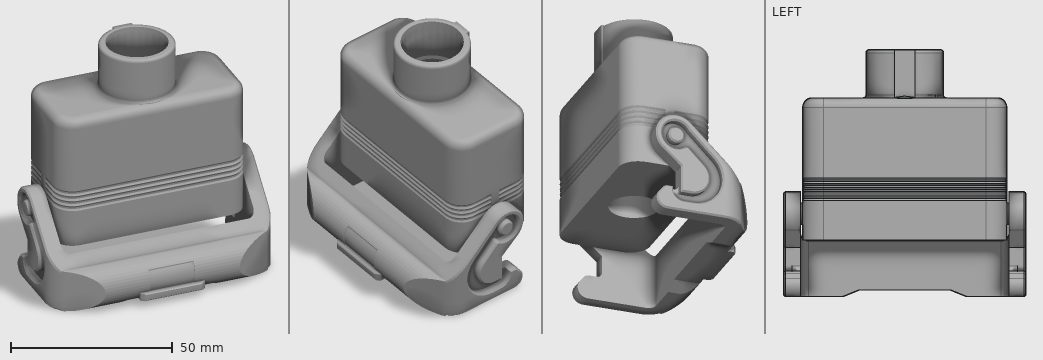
import cadquery as cq
import math

HOUSING_HALF_X = 14.7
HOUSING_HALF_Y = 31.6
HOUSING_BOTTOM = 17.5
HOUSING_TOP = 61.6
HOUSING_CORNER_RADIUS = 6.5
HOUSING_TOP_RADIUS = 3.0

NECK_TOP = 76.5
NECK_RADIUS = 12.0
NECK_RIM_RADIUS = 1.0
NECK_FOOT_RADIUS = 0.85
NECK_FLAT_X = 12.1
NECK_FLAT_WIDTH = 6.4
BORE_DEPTH = 13.5
BORE_TOP_RADIUS = 9.8
BORE_BOTTOM_RADIUS = 9.6
THROUGH_RADIUS = 7.95

GROOVE_COUNT = 4
GROOVE_PITCH = 1.75
GROOVE_BOTTOM = 29.75
GROOVE_WIDTH = 1.7
GROOVE_FLOOR_WIDTH = 0.5
GROOVE_DEPTH = 0.4
GROOVE_GAP = 3.0

PIVOT_Z = 25.7
BOSS_RADIUS = 3.4
PIVOT_ROOT = 0.8
PIN_RADIUS = 2.6
PIN_CHAMFER = 0.5

BAIL_WIDTH = 75.05
BAIL_HALF_Y = BAIL_WIDTH / 2
ARM_THICKNESS = 5.3
ARM_INNER_Y = BAIL_HALF_Y - ARM_THICKNESS
BAIL_BEVEL = 0.5
EYE_RADIUS = 6.8
CLEAR_HEIGHT = PIVOT_Z + 2 * EYE_RADIUS
THROAT_X = 1.5
THROAT_TOP = 15.3
THROAT_RADIUS = 1.6
HOOK_HEIGHT = 7.95
HOOK_RADIUS = 3.45
HOOK_TIP_RADIUS = 2.1
HOOK_FLAT_ANGLE = 141.0
HOOK_NOSE_X = -6.5

CROSSBAR_INNER_X = 18.5
INNER_CORNER_RADIUS = 2.45
OUTER_CORNER_RADIUS = INNER_CORNER_RADIUS + ARM_THICKNESS
CORNER_X = CROSSBAR_INNER_X - INNER_CORNER_RADIUS
CORNER_Y = BAIL_HALF_Y - OUTER_CORNER_RADIUS

GRIP_X = 21.95
GRIP_HEIGHT = 14.0
GRIP_RADIUS = GRIP_HEIGHT / 2
GRIP_FRONT_X = GRIP_X + GRIP_RADIUS
GRIP_FACETS = 22
GRIP_END_ANGLE = 29.0

NOTCH_HEIGHT = 2.1
NOTCH_TOP_WIDTH = 28.2
NOTCH_BOTTOM_WIDTH = 38.25

TAB_BOTTOM = NOTCH_HEIGHT
TAB_HEIGHT = 2.5
TAB_END_X = 30.0
TAB_BASE_WIDTH = 21.6
TAB_TIP_WIDTH = 19.0
TAB_CHAMFER = 0.3

THUMB_WIDTH = 15.0
THUMB_INNER_X = 27.3
THUMB_DEPTH = 0.2

CHANNEL_DEPTH = 2.6
CHANNEL_EYE_RADIUS = 4.75
CHANNEL_EYE_BLEND = 1.15
CHANNEL_OUTER_CENTER = (5.7, 12.9)
CHANNEL_OUTER_RADIUS = 9.5
CHANNEL_INNER_CENTER = (5.05, 12.5)
CHANNEL_INNER_RADIUS = 6.0
CHANNEL_END_X = -1.15
CHANNEL_END_RADIUS = 3.6


def on_circle(center, radius, degrees):
    """Point of a circle at an angle counted from +X."""
    angle = math.radians(degrees)
    return center[0] + radius * math.cos(angle), center[1] + radius * math.sin(angle)


def tangent_angle(center, radius, point, side):
    """Angle on a circle where the line from an outer point touches it."""
    dx = point[0] - center[0]
    dz = point[1] - center[1]
    spread = math.degrees(math.acos(radius / math.hypot(dx, dz)))
    return math.degrees(math.atan2(dz, dx)) + side * spread


def xz_prism(outline, y_start, y_end):
    """Extrude a closed XZ outline from y_start up to y_end."""
    return outline.extrude(y_start - y_end).translate((0, y_start, 0))


def y_cylinder(radius, y_start, y_end):
    """Cylinder along Y on the pivot axis."""
    return xz_prism(cq.Workplane("XZ").center(0, PIVOT_Z).circle(radius), y_start, y_end)


def rounded_block(inset=0.0):
    """Rounded rectangle of the housing plan, moved inwards by an inset."""
    plan = cq.Sketch().rect(2 * (HOUSING_HALF_X - inset), 2 * (HOUSING_HALF_Y - inset))
    return plan.vertices().fillet(HOUSING_CORNER_RADIUS - inset)


def shell_block():
    block = cq.Workplane("XY").placeSketch(rounded_block()).extrude(HOUSING_TOP - HOUSING_BOTTOM)
    block = block.faces(">Z").edges().fillet(HOUSING_TOP_RADIUS)
    return block.translate((0, 0, HOUSING_BOTTOM))


def neck():
    """Round cable neck with a rounded rim, a flared foot and a flat key on its -X side."""
    foot_z = HOUSING_TOP - HOUSING_TOP_RADIUS
    flare_top = HOUSING_TOP + NECK_FOOT_RADIUS
    flare_x = NECK_RADIUS + NECK_FOOT_RADIUS
    flare_middle = on_circle((flare_x, flare_top), NECK_FOOT_RADIUS, 225)
    rim_center = (NECK_RADIUS - NECK_RIM_RADIUS, NECK_TOP - NECK_RIM_RADIUS)
    body = (
        cq.Workplane("XZ")
        .moveTo(0, foot_z)
        .lineTo(HOUSING_HALF_X - HOUSING_TOP_RADIUS, foot_z)
        .lineTo(flare_x, HOUSING_TOP - NECK_FOOT_RADIUS)
        .lineTo(flare_x, HOUSING_TOP)
        .threePointArc(flare_middle, (NECK_RADIUS, flare_top))
        .lineTo(NECK_RADIUS, rim_center[1])
        .threePointArc(on_circle(rim_center, NECK_RIM_RADIUS, 45), (rim_center[0], NECK_TOP))
        .lineTo(0, NECK_TOP)
        .close()
        .revolve(360, (0, 0, 0), (0, 1, 0))
    )
    key = cq.Workplane("XY").box(
        NECK_FLAT_X, NECK_FLAT_WIDTH, NECK_TOP - foot_z, centered=(False, True, False)
    ).translate((-NECK_FLAT_X, 0, foot_z))
    return body.union(key)


def neck_bore():
    """Tapered bore through the neck and a smaller hole through the whole housing."""
    taper = (
        cq.Workplane("XY", origin=(0, 0, NECK_TOP - BORE_DEPTH))
        .circle(BORE_BOTTOM_RADIUS)
        .workplane(offset=BORE_DEPTH)
        .circle(BORE_TOP_RADIUS)
        .loft()
    )
    hole = cq.Workplane("XY", origin=(0, 0, HOUSING_BOTTOM)).circle(THROUGH_RADIUS)
    return taper.union(hole.extrude(NECK_TOP - HOUSING_BOTTOM))


def groove():
    """Trapezoid groove round the housing, with a plain gap in the middle of each end wall."""
    flank = (GROOVE_WIDTH - GROOVE_FLOOR_WIDTH) / 2
    flank_taper = math.degrees(math.atan(GROOVE_DEPTH / flank))
    lower = cq.Workplane("XY").placeSketch(rounded_block()).extrude(flank, taper=flank_taper)
    upper = lower.mirror("XY").translate((0, 0, GROOVE_WIDTH))
    core = cq.Workplane("XY").placeSketch(rounded_block(GROOVE_DEPTH)).extrude(GROOVE_WIDTH)
    gap = cq.Workplane("XY").box(
        GROOVE_GAP, 2 * HOUSING_HALF_Y, GROOVE_WIDTH, centered=(True, True, False))
    slab = cq.Workplane("XY").box(
        2 * HOUSING_HALF_X, 2 * HOUSING_HALF_Y, GROOVE_WIDTH, centered=(True, True, False))
    return slab.cut(core).cut(lower).cut(upper).cut(gap)


def pivot(side):
    """Boss and pin on one end wall; side is +1 for +Y and -1 for -Y."""
    boss = y_cylinder(BOSS_RADIUS, HOUSING_HALF_Y - PIVOT_ROOT, ARM_INNER_Y)
    pin = y_cylinder(PIN_RADIUS, HOUSING_HALF_Y - PIVOT_ROOT, BAIL_HALF_Y).faces(">Y").chamfer(PIN_CHAMFER)
    both = boss.union(pin)
    return both if side > 0 else both.mirror("XZ")


def make_housing():
    body = shell_block().union(neck()).cut(neck_bore())
    for index in range(GROOVE_COUNT):
        body = body.cut(groove().translate((0, 0, GROOVE_BOTTOM + index * GROOVE_PITCH)))
    for side in (1, -1):
        body = body.union(pivot(side))
    return body


def frame_outline():
    """XZ outline of the bail without its grip: eye, slanted arm, hook and crossbar."""
    eye = (0, PIVOT_Z)
    crossbar_top = (GRIP_X, GRIP_HEIGHT)
    throat_top = (THROAT_X, THROAT_TOP)
    upper_angle = tangent_angle(eye, EYE_RADIUS, crossbar_top, 1)
    lower_angle = tangent_angle(eye, EYE_RADIUS, throat_top, -1)
    eye_far_angle = (upper_angle + lower_angle + 360) / 2
    throat_center = (THROAT_X - THROAT_RADIUS, HOOK_HEIGHT + THROAT_RADIUS)
    hook = (HOOK_NOSE_X + HOOK_RADIUS, HOOK_RADIUS)
    flat_x, flat_z = on_circle((0, 0), 1, HOOK_FLAT_ANGLE)
    tip_z = HOOK_HEIGHT - HOOK_TIP_RADIUS
    tip_x = hook[0] + (HOOK_RADIUS - HOOK_TIP_RADIUS - (tip_z - hook[1]) * flat_z) / flat_x
    tip = (tip_x, tip_z)
    return (
        cq.Workplane("XZ")
        .moveTo(GRIP_X, 0)
        .lineTo(*crossbar_top)
        .lineTo(*on_circle(eye, EYE_RADIUS, upper_angle))
        .threePointArc(on_circle(eye, EYE_RADIUS, eye_far_angle), on_circle(eye, EYE_RADIUS, lower_angle))
        .lineTo(*throat_top)
        .lineTo(THROAT_X, throat_center[1])
        .threePointArc(on_circle(throat_center, THROAT_RADIUS, -45), (throat_center[0], HOOK_HEIGHT))
        .lineTo(tip_x, HOOK_HEIGHT)
        .threePointArc(
            on_circle(tip, HOOK_TIP_RADIUS, (90 + HOOK_FLAT_ANGLE) / 2),
            on_circle(tip, HOOK_TIP_RADIUS, HOOK_FLAT_ANGLE))
        .lineTo(*on_circle(hook, HOOK_RADIUS, HOOK_FLAT_ANGLE))
        .threePointArc((HOOK_NOSE_X, HOOK_RADIUS), (hook[0], 0))
        .close()
    )


def bail_plan():
    """Outer XY plan of the bail: rounded corners running into a slanted grip with a flat front."""
    corner = (CORNER_X, CORNER_Y)
    slant_x, slant_y = on_circle(corner, OUTER_CORNER_RADIUS, GRIP_END_ANGLE)
    middle_x, middle_y = on_circle(corner, OUTER_CORNER_RADIUS, (90 + GRIP_END_ANGLE) / 2)
    front_y = slant_y - (GRIP_FRONT_X - slant_x) / math.tan(math.radians(GRIP_END_ANGLE))
    rear_x = -2 * EYE_RADIUS
    return (
        cq.Workplane("XY")
        .moveTo(rear_x, -BAIL_HALF_Y)
        .lineTo(CORNER_X, -BAIL_HALF_Y)
        .threePointArc((middle_x, -middle_y), (slant_x, -slant_y))
        .lineTo(GRIP_FRONT_X, -front_y)
        .lineTo(GRIP_FRONT_X, front_y)
        .lineTo(slant_x, slant_y)
        .threePointArc((middle_x, middle_y), (CORNER_X, BAIL_HALF_Y))
        .lineTo(rear_x, BAIL_HALF_Y)
        .close()
        .extrude(CLEAR_HEIGHT)
    )


def bail_opening():
    """Space between the two arms, rounded where the arms meet the crossbar."""
    rear_x = -2 * EYE_RADIUS
    length = CROSSBAR_INNER_X - rear_x
    opening = cq.Workplane("XY").box(
        length, 2 * ARM_INNER_Y, CLEAR_HEIGHT, centered=(False, True, False))
    return opening.edges("|Z and >X").fillet(INNER_CORNER_RADIUS).translate((rear_x, 0, 0))


def channel():
    """Hook-shaped channel in the outer face of the +Y arm."""
    floor_y = BAIL_HALF_Y - CHANNEL_DEPTH
    outer_x, outer_z = CHANNEL_OUTER_CENTER
    outer_top = on_circle(CHANNEL_OUTER_CENTER, CHANNEL_OUTER_RADIUS, 45)
    inner_top = on_circle(CHANNEL_INNER_CENTER, CHANNEL_INNER_RADIUS, 45)
    outer_bottom_z = outer_z - CHANNEL_OUTER_RADIUS
    inner_bottom = (CHANNEL_INNER_CENTER[0], CHANNEL_INNER_CENTER[1] - CHANNEL_INNER_RADIUS)
    end_center = (CHANNEL_END_X + CHANNEL_END_RADIUS, outer_bottom_z + CHANNEL_END_RADIUS)
    open_z = HOOK_HEIGHT + THROAT_RADIUS
    start_x = CHANNEL_EYE_RADIUS / 2
    outer_start = (start_x, outer_top[0] + outer_top[1] - start_x)
    inner_start = (start_x, inner_top[0] + inner_top[1] - start_x)
    run = xz_prism(
        cq.Workplane("XZ")
        .moveTo(*outer_start)
        .lineTo(*outer_top)
        .threePointArc(
            on_circle(CHANNEL_OUTER_CENTER, CHANNEL_OUTER_RADIUS, -22.5), (outer_x, outer_bottom_z))
        .lineTo(end_center[0], outer_bottom_z)
        .threePointArc(
            on_circle(end_center, CHANNEL_END_RADIUS, 225), (CHANNEL_END_X, end_center[1]))
        .lineTo(CHANNEL_END_X, open_z)
        .lineTo(THROAT_X, open_z)
        .lineTo(THROAT_X, inner_bottom[1])
        .lineTo(*inner_bottom)
        .threePointArc(on_circle(CHANNEL_INNER_CENTER, CHANNEL_INNER_RADIUS, -22.5), inner_top)
        .lineTo(*inner_start)
        .close(),
        floor_y, BAIL_HALF_Y)
    pocket = y_cylinder(CHANNEL_EYE_RADIUS, floor_y, BAIL_HALF_Y)
    joined = pocket.union(run)
    junction = cq.selectors.BoxSelector(
        (start_x, floor_y, PIVOT_Z - CHANNEL_EYE_RADIUS),
        (CHANNEL_EYE_RADIUS, BAIL_HALF_Y, PIVOT_Z + CHANNEL_EYE_RADIUS))
    return joined.edges("|Y").edges(junction).fillet(CHANNEL_EYE_BLEND)


def bail_frame():
    """Arms and crossbar with the channels sunk in and the outer rims bevelled."""
    frame = xz_prism(frame_outline(), -BAIL_HALF_Y, BAIL_HALF_Y)
    frame = frame.intersect(bail_plan()).cut(bail_opening())
    frame = frame.cut(channel()).cut(channel().mirror("XZ"))
    seam = cq.selectors.BoxSelector(
        (CORNER_X - BAIL_BEVEL / 2, -BAIL_WIDTH, BAIL_BEVEL),
        (CORNER_X + BAIL_BEVEL / 2, BAIL_WIDTH, PIVOT_Z))
    for face in (">Y", "<Y"):
        frame = frame.faces(face).edges(cq.selectors.InverseSelector(seam)).chamfer(BAIL_BEVEL)
    return frame


def grip():
    """Half-round faceted bar across the front of the bail."""
    center = (GRIP_X, GRIP_RADIUS)
    step = 180 / GRIP_FACETS
    corner_radius = GRIP_RADIUS / math.cos(math.radians(step / 2))
    corners = [on_circle(center, corner_radius, 90 - step * (index + 0.5)) for index in range(GRIP_FACETS)]
    outline = cq.Workplane("XZ").polyline([(GRIP_X, GRIP_HEIGHT), *corners, (GRIP_X, 0)]).close()
    bar = xz_prism(outline, -BAIL_HALF_Y, BAIL_HALF_Y)
    return bar.intersect(bail_plan()).cut(thumb_recess())


def thumb_recess():
    """Shallow smooth patch in the middle of the grip, above the tab."""
    tab_top = TAB_BOTTOM + TAB_HEIGHT
    block = cq.Workplane("XY").box(
        GRIP_RADIUS, THUMB_WIDTH, GRIP_HEIGHT, centered=(False, True, False)
    ).translate((THUMB_INNER_X, 0, tab_top))
    core = cq.Workplane("XZ").center(GRIP_X, GRIP_RADIUS).circle(GRIP_RADIUS - THUMB_DEPTH)
    return block.cut(xz_prism(core, -THUMB_WIDTH, THUMB_WIDTH))


def tab():
    """Small lip on the grip that narrows towards its tip."""
    base_half = TAB_BASE_WIDTH / 2
    tip_half = TAB_TIP_WIDTH / 2
    lip = (
        cq.Workplane("XY", origin=(0, 0, TAB_BOTTOM))
        .polyline([
            (GRIP_X, -base_half), (GRIP_FRONT_X, -base_half), (TAB_END_X, -tip_half),
            (TAB_END_X, tip_half), (GRIP_FRONT_X, base_half), (GRIP_X, base_half)])
        .close()
        .extrude(TAB_HEIGHT)
    )
    return lip.faces(">X").edges().chamfer(TAB_CHAMFER)


def underside_notch():
    """Shallow notch with slanted ends across the underside of the crossbar."""
    return (
        cq.Workplane("YZ")
        .polyline([
            (-NOTCH_BOTTOM_WIDTH / 2, 0), (-NOTCH_TOP_WIDTH / 2, NOTCH_HEIGHT),
            (NOTCH_TOP_WIDTH / 2, NOTCH_HEIGHT), (NOTCH_BOTTOM_WIDTH / 2, 0)])
        .close()
        .extrude(GRIP_FRONT_X)
    )


def make_bail():
    body = bail_frame().union(grip()).cut(underside_notch()).union(tab())
    return body.cut(y_cylinder(PIN_RADIUS, -BAIL_HALF_Y, BAIL_HALF_Y))


housing = make_housing()
bail = make_bail()
result = cq.Compound.makeCompound([housing.solids().val(), bail.solids().val()])